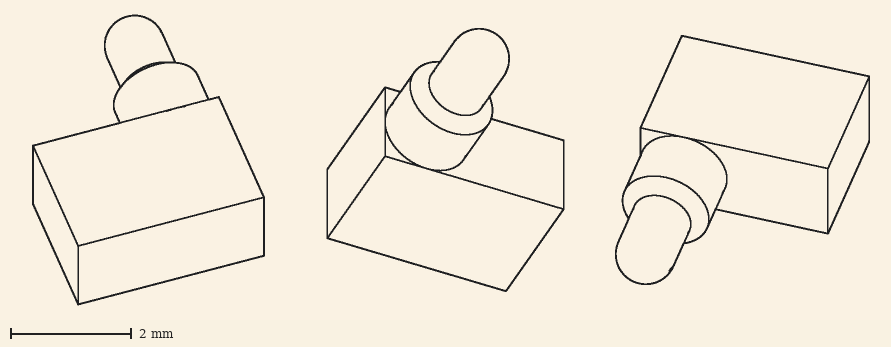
import cadquery as cq

total_length = 4.9
block_width = 3.25
block_height = 1.5

pin_length = 1.4
barrel_length = 1.2
block_length = total_length - pin_length - barrel_length

barrel_radius = block_height / 2
pin_radius = 0.5
nose_chamfer = 0.2
nose_round = 0.1

barrel_start = pin_length
block_start = barrel_start + barrel_length


def make_block():
    """Rectangular body, flush with the barrel on its +Y side."""
    return cq.Workplane("XY").box(
        block_length, block_width, block_height, centered=(False, False, True)
    ).translate((block_start, barrel_radius - block_width, 0))


def make_barrel():
    """Barrel with a chamfered nose whose front edge is rounded."""
    barrel = cq.Workplane("YZ", origin=(barrel_start, 0, 0)).circle(barrel_radius).extrude(barrel_length)
    barrel = barrel.faces("<X").edges().chamfer(nose_chamfer)
    return barrel.faces("<X").edges().fillet(nose_round)


def make_pin():
    """Plunger pin with a hemispherical tip, ending inside the nose of the barrel."""
    pin_end = barrel_start + nose_chamfer
    shaft = cq.Workplane("YZ", origin=(pin_radius, 0, 0)).circle(pin_radius).extrude(pin_end - pin_radius)
    tip = cq.Workplane("XY", origin=(pin_radius, 0, 0)).sphere(pin_radius)
    return shaft.union(tip)


result = make_block().union(make_barrel()).union(make_pin())